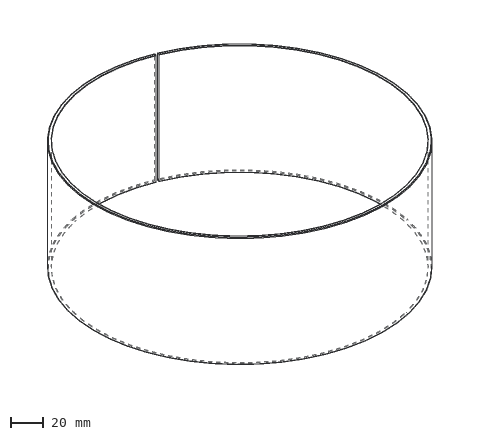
import cadquery as cq

outer_diameter = 235.0
wall_thickness = 2.5
height = 90.0
outer_chamfer = 0.5
inner_chamfer = 0.2
slit_angle = 1.0

outer_radius = outer_diameter / 2
inner_radius = outer_radius - wall_thickness


def make_band():
    """Thin cylindrical band standing on the XY plane, with all four rims chamfered."""
    band = cq.Workplane("XY").circle(outer_radius).circle(inner_radius).extrude(height)
    outer_rims = cq.selectors.RadiusNthSelector(-1)
    inner_rims = cq.selectors.RadiusNthSelector(0)
    band = band.edges("%CIRCLE").edges(outer_rims).chamfer(outer_chamfer)
    return band.edges("%CIRCLE").edges(inner_rims).chamfer(inner_chamfer)


def make_slit():
    """Radial wedge through the -X wall, opening from the XZ plane towards +Y."""
    half_plane = cq.Workplane("XZ").rect(-2 * outer_radius, height, centered=False)
    return half_plane.revolve(slit_angle, (0, 0), (0, -1))


result = make_band().cut(make_slit())